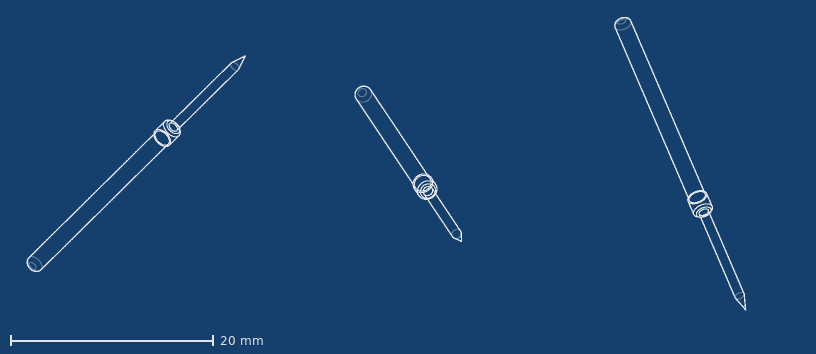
import cadquery as cq

total_length = 37.8
body_length = 25.0
body_diameter = 1.7
rear_fillet = 0.4
collar_diameter = 2.0
collar_length = 1.95
collar_chamfer = 0.23
plunger_diameter = 1.0
tip_length = 1.9

body_radius = body_diameter / 2
collar_radius = collar_diameter / 2
plunger_radius = plunger_diameter / 2

tip_base = total_length - tip_length
collar_rear = body_length - collar_length


def make_barrel():
    """Cylindrical body with a rounded rear end and a stepped, chamfered collar at the front."""
    return (
        cq.Workplane("XY")
        .lineTo(body_radius - rear_fillet, 0)
        .tangentArcPoint((body_radius, rear_fillet), relative=False)
        .lineTo(body_radius, collar_rear)
        .lineTo(collar_radius, collar_rear)
        .lineTo(collar_radius, body_length - collar_chamfer)
        .lineTo(collar_radius - collar_chamfer, body_length)
        .lineTo(0, body_length)
        .close()
        .revolve(360, (0, 0), (0, 1))
    )


def make_plunger():
    """Slim pin ending in a sharp conical point, rooted in the collar's front face."""
    return (
        cq.Workplane("XY")
        .moveTo(0, collar_rear)
        .lineTo(plunger_radius, collar_rear)
        .lineTo(plunger_radius, tip_base)
        .lineTo(0, total_length)
        .close()
        .revolve(360, (0, 0), (0, 1))
    )


result = make_barrel().union(make_plunger())